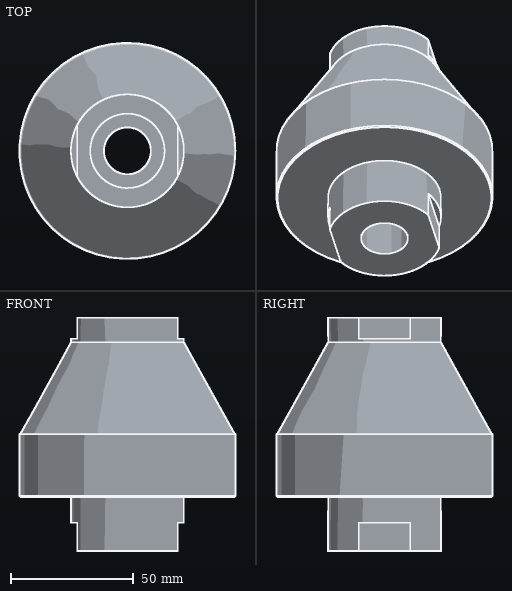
import cadquery as cq

TOTAL_HEIGHT = 95.0
BODY_DIAMETER = 88.0
NECK_DIAMETER = 46.0
LOWER_NECK_LENGTH = 22.0
BODY_HEIGHT = 26.0
UPPER_NECK_LENGTH = 10.0
EDGE_CHAMFER = 0.5

FLAT_SPACING = 41.0
UPPER_FLAT_LENGTH = 8.5
LOWER_FLAT_LENGTH = 11.5

BORE_DIAMETER = 19.0
SOCKET_DIAMETER = 30.29
SOCKET_DEPTH = 25.0

body_radius = BODY_DIAMETER / 2
neck_radius = NECK_DIAMETER / 2
body_top = LOWER_NECK_LENGTH + BODY_HEIGHT
cone_top = TOTAL_HEIGHT - UPPER_NECK_LENGTH


def turned_body():
    """Lower neck, chamfered band, cone and upper neck as one revolved profile."""
    chamfered_radius = body_radius - EDGE_CHAMFER
    return (
        cq.Workplane("XZ")
        .moveTo(0, 0)
        .lineTo(neck_radius, 0)
        .lineTo(neck_radius, LOWER_NECK_LENGTH)
        .lineTo(chamfered_radius, LOWER_NECK_LENGTH)
        .lineTo(body_radius, LOWER_NECK_LENGTH + EDGE_CHAMFER)
        .lineTo(body_radius, body_top - EDGE_CHAMFER)
        .lineTo(chamfered_radius, body_top)
        .lineTo(neck_radius, cone_top)
        .lineTo(neck_radius, TOTAL_HEIGHT)
        .lineTo(0, TOTAL_HEIGHT)
        .close()
        .revolve(360, (0, 0, 0), (0, 1, 0))
    )


def flat_cutters(bottom, length):
    """Two blocks that trim a neck to the flat spacing on its -X and +X sides."""
    cut_depth = (NECK_DIAMETER - FLAT_SPACING) / 2
    center_x = (FLAT_SPACING + cut_depth) / 2
    return (
        cq.Workplane("XY", origin=(0, 0, bottom))
        .pushPoints([(-center_x, 0), (center_x, 0)])
        .rect(cut_depth, NECK_DIAMETER)
        .extrude(length)
    )


def stepped_bore():
    """Through bore with a wider socket sunk from the top face."""
    bore = cq.Workplane("XY").circle(BORE_DIAMETER / 2).extrude(TOTAL_HEIGHT)
    socket = (
        cq.Workplane("XY", origin=(0, 0, TOTAL_HEIGHT - SOCKET_DEPTH))
        .circle(SOCKET_DIAMETER / 2)
        .extrude(SOCKET_DEPTH)
    )
    return bore.union(socket)


result = (
    turned_body()
    .cut(flat_cutters(TOTAL_HEIGHT - UPPER_FLAT_LENGTH, UPPER_FLAT_LENGTH))
    .cut(flat_cutters(0, LOWER_FLAT_LENGTH))
    .cut(stepped_bore())
)